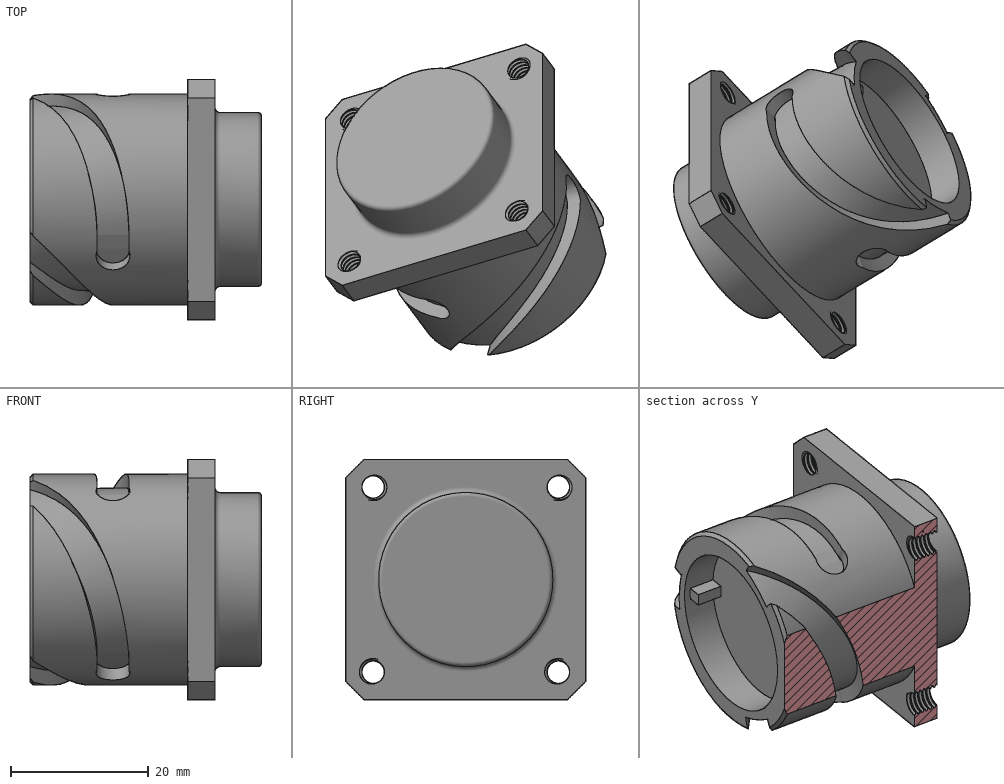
import cadquery as cq
import math

shell_diameter = 30.8
shell_length = 23.0
shell_chamfer = 0.5
bore_diameter = 24.0
bore_depth = 5.0

flange_width = 35.05
flange_thickness = 4.0
flange_corner_chamfer = 2.7
screw_spacing = 27.0
thread_major_diameter = 4.0
thread_minor_diameter = 3.24
thread_pitch = 0.7
thread_half_angle = 30.0
thread_root_flat = thread_pitch / 8
thread_overlap = 0.1

total_length = 33.81
spigot_diameter = 25.4
spigot_edge_fillet = 0.6
spigot_root_fillet = 0.75

key_width = 1.8
key_length = 4.0
key_inner_radius = 9.9
key_embed = 0.5

ramp_count = 3
ramp_width = 4.65
ramp_floor_radius = 13.34
ramp_straight_length = 2.6
ramp_wrap_angle = 121.8
ramp_mouth_roll = 5.0
ramp_sample_count = 24
ramp_overrun = 3.5
latch_diameter = 4.9
latch_x = 12.13
latch_start_angle = 2.5
cutter_radius = 18.0

shell_radius = shell_diameter / 2
bore_radius = bore_diameter / 2
flange_back_x = shell_length + flange_thickness

ramp_arc_span = shell_radius * math.radians(ramp_wrap_angle) - ramp_straight_length
ramp_arc_radius = (ramp_arc_span**2 + latch_x**2) / (2 * latch_x)
ramp_mouth_angle = math.asin(ramp_arc_span / ramp_arc_radius)


def cylinder_along_x(radius, start_x, length):
    return cq.Workplane("YZ").workplane(offset=start_x).circle(radius).extrude(length)


def make_shell():
    return cylinder_along_x(shell_radius, 0, shell_length).faces("<X").chamfer(shell_chamfer)


def make_flange():
    flange = cq.Workplane("YZ").workplane(offset=shell_length).rect(flange_width, flange_width)
    return flange.extrude(flange_thickness).edges("|X").chamfer(flange_corner_chamfer)


def make_spigot():
    """Revolved spigot with a rounded rear edge and a concave fillet at the flange."""
    radius = spigot_diameter / 2
    root = spigot_root_fillet
    edge = spigot_edge_fillet
    arc_inset = 1 - math.cos(math.radians(45))
    root_mid = (flange_back_x + root * arc_inset, radius + root * arc_inset)
    edge_mid = (total_length - edge * arc_inset, radius - edge * arc_inset)
    profile = (
        cq.Workplane("XY")
        .moveTo(flange_back_x, 0)
        .lineTo(flange_back_x, radius + root)
        .threePointArc(root_mid, (flange_back_x + root, radius))
        .lineTo(total_length - edge, radius)
        .threePointArc(edge_mid, (total_length, radius - edge))
        .lineTo(total_length, 0)
        .close()
    )
    return profile.revolve(360, (0, 0, 0), (1, 0, 0))


def make_key():
    """Square key standing on the bore floor and merging into the bore wall on the +Y side."""
    key_height = bore_radius + key_embed - key_inner_radius
    key = cq.Workplane("XY").box(key_length, key_height, key_width, centered=(False, False, True))
    return key.translate((bore_depth - key_length, key_inner_radius, 0))


def ramp_point(arc_angle, side, radius):
    """Point on one rail of a ramp whose latch pocket is at polar angle zero.

    arc_angle is the turn along the developed arc, side is -1 or +1 across the ramp and
    radius is the height of the rail above the shell axis. The section rolls slowly about
    its centre on the shell surface, so the ramp floor tilts towards the mouth.
    """
    travel = ramp_straight_length + ramp_arc_radius * math.sin(arc_angle)
    polar = -travel / shell_radius
    center_x = latch_x - ramp_arc_radius * (1 - math.cos(arc_angle))
    roll = math.radians(ramp_mouth_roll) * arc_angle / ramp_mouth_angle
    offset = side * ramp_width / 2
    height = radius - shell_radius
    across = offset * math.cos(roll) - height * math.sin(roll)
    radial = shell_radius + offset * math.sin(roll) + height * math.cos(roll)
    around = -across * math.sin(arc_angle)
    return cq.Vector(
        center_x + across * math.cos(arc_angle),
        radial * math.cos(polar) - around * math.sin(polar),
        radial * math.sin(polar) + around * math.cos(polar),
    )


def ramp_rail(side, radius):
    end_angle = math.acos(1 - (latch_x + ramp_overrun) / ramp_arc_radius)
    step = end_angle / ramp_sample_count
    points = [ramp_point(i * step, side, radius) for i in range(ramp_sample_count + 1)]
    return cq.Edge.makeSpline(points)


def make_curved_ramp():
    """Solid swept by a rectangular section running along the developed arc."""
    rails = [
        ramp_rail(-1, ramp_floor_radius),
        ramp_rail(1, ramp_floor_radius),
        ramp_rail(1, cutter_radius),
        ramp_rail(-1, cutter_radius),
    ]
    faces = [cq.Face.makeRuledSurface(rails[i - 1], rails[i]) for i in range(len(rails))]
    for position in (0, 1):
        corners = [rail.positionAt(position) for rail in rails]
        faces.append(cq.Face.makeFromWires(cq.Wire.makePolygon(corners, close=True)))
    return cq.Workplane(cq.Solid.makeSolid(cq.Shell.makeShell(faces)))


def make_ramp_cutter():
    """Round latch pocket, straight lead and curved ramp, with the pocket facing +Y."""
    height = cutter_radius - ramp_floor_radius
    floor = cq.Plane(origin=(latch_x, ramp_floor_radius, 0), xDir=(1, 0, 0), normal=(0, 1, 0))
    pocket = cq.Workplane(floor).circle(latch_diameter / 2).extrude(height)
    lead_turn = ramp_straight_length / shell_radius
    lead_profile = [
        (ramp_floor_radius, 0),
        (ramp_floor_radius * math.cos(lead_turn), -ramp_floor_radius * math.sin(lead_turn)),
        (cutter_radius * math.cos(lead_turn), -cutter_radius * math.sin(lead_turn)),
        (cutter_radius, 0),
    ]
    lead_plane = cq.Workplane("YZ").workplane(offset=latch_x)
    lead = lead_plane.polyline(lead_profile).close().extrude(ramp_width / 2, both=True)
    return pocket.union(lead).union(make_curved_ramp())


def make_threaded_hole_cutter():
    """Tapped hole through the flange: a bore with a helical V groove."""
    minor_radius = thread_minor_diameter / 2
    depth = (thread_major_diameter - thread_minor_diameter) / 2
    root_half = thread_root_flat / 2
    crest_half = root_half + (depth + thread_overlap) * math.tan(math.radians(thread_half_angle))
    inner = minor_radius - thread_overlap
    outer = minor_radius + depth
    turns = math.ceil(flange_thickness / thread_pitch) + 2
    helix = cq.Wire.makeHelix(thread_pitch, turns * thread_pitch, minor_radius)
    groove = (
        cq.Workplane("XZ")
        .polyline([(inner, -crest_half), (outer, -root_half), (outer, root_half), (inner, crest_half)])
        .close()
        .sweep(cq.Workplane(helix), isFrenet=True)
    )
    bore = cq.Workplane("XY").circle(minor_radius).extrude(turns * thread_pitch)
    cutter = bore.union(groove).translate((0, 0, -thread_pitch))
    return cutter.rotate((0, 0, 0), (0, 1, 0), 90).rotate((0, 0, 0), (1, 0, 0), 180)


def cut_flange_holes(body):
    cutter = make_threaded_hole_cutter()
    for side_z, start_angle in ((1, 0), (-1, 180)):
        for side_y in (1, -1):
            hole = cutter.rotate((0, 0, 0), (1, 0, 0), start_angle)
            position = (shell_length, side_y * screw_spacing / 2, side_z * screw_spacing / 2)
            body = body.cut(hole.translate(position))
    return body


def cut_ramps(body):
    cutter = make_ramp_cutter()
    for i in range(ramp_count):
        angle = latch_start_angle + i * 360 / ramp_count
        body = body.cut(cutter.rotate((0, 0, 0), (1, 0, 0), angle))
    return body


flange = cut_flange_holes(make_flange())
shell = cut_ramps(make_shell())
bore = cylinder_along_x(bore_radius, 0, bore_depth)
result = shell.union(flange).union(make_spigot()).cut(bore).union(make_key())